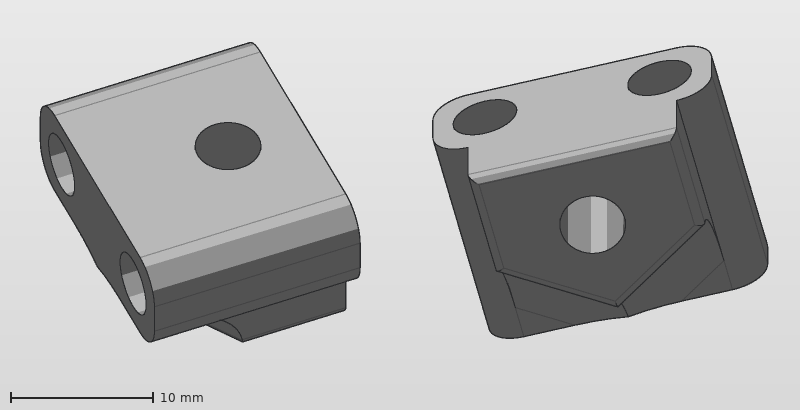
import cadquery as cq
import math

width = 20.27
depth = 15.77
total_height = 12.15
body_height = 7.58
body_corner_radius = 2.55

foot_height = total_height - body_height
foot_width = width - 2 * body_corner_radius
foot_edge_radius = 0.65
nose_setback = 2.92
flank_end_y = 0.0

hole_diameter = 4.62
long_hole_offset = 6.35
cross_hole_y = 2.13

body_middle_z = foot_height + body_height / 2
nose_y = -depth / 2 + nose_setback
flank_angle = math.degrees(math.atan2(flank_end_y - nose_y, foot_width / 2))


def make_body():
    return (
        cq.Workplane("XY")
        .box(width, depth, body_height)
        .edges("|Y")
        .fillet(body_corner_radius)
        .translate((0, 0, body_middle_z))
    )


def make_flank_cutter(side):
    """Concave quarter-round cutter for one flank; side is -1 or 1 along X."""
    radius = foot_height
    length = 2 * width
    arc_middle = radius * math.sin(math.radians(45))
    return (
        cq.Workplane("YZ")
        .moveTo(0, 0)
        .threePointArc((arc_middle - radius, arc_middle), (-radius, foot_height))
        .lineTo(-depth, foot_height)
        .lineTo(-depth, 0)
        .close()
        .extrude(length / 2, both=True)
        .rotate((0, 0, 0), (0, 0, 1), side * flank_angle)
        .translate((0, nose_y, 0))
    )


def make_foot():
    foot = cq.Workplane("XY").box(foot_width, depth, foot_height, centered=(True, True, False))
    for side in (-1, 1):
        foot = foot.cut(make_flank_cutter(side))
    return foot.faces("<Z").edges().fillet(foot_edge_radius)


def make_holes():
    holes = (
        cq.Workplane("XY")
        .center(0, cross_hole_y)
        .circle(hole_diameter / 2)
        .extrude(total_height)
    )
    long_holes = (
        cq.Workplane("XZ")
        .pushPoints([(side * long_hole_offset, body_middle_z) for side in (-1, 1)])
        .circle(hole_diameter / 2)
        .extrude(depth / 2, both=True)
    )
    return holes.union(long_holes)


result = make_body().union(make_foot()).cut(make_holes())